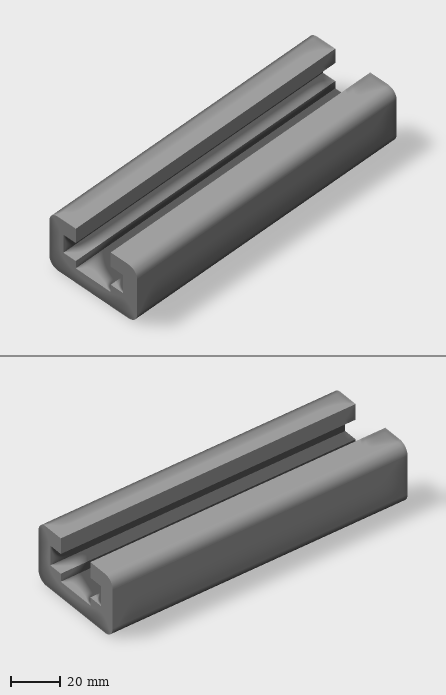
import cadquery as cq

length = 150
width = 50.0
height = 30
corner_radius = 5.0

wall_thickness = 8.0
mouth_width = 20.0
cavity_height = 10.0

cavity_width = width - 2 * wall_thickness
slot_depth = height - wall_thickness


def bar(bar_width, bar_height, bottom):
    """Full-length block centred on X and Y, standing on the given Z."""
    return cq.Workplane("XY").workplane(offset=bottom).box(
        bar_width, length, bar_height, centered=(True, True, False)
    )


body = bar(width, height, 0).edges("|Y").fillet(corner_radius)

channel = bar(mouth_width, slot_depth, wall_thickness)

cavity = bar(cavity_width, cavity_height, height - wall_thickness - cavity_height)

result = body.cut(channel).cut(cavity)